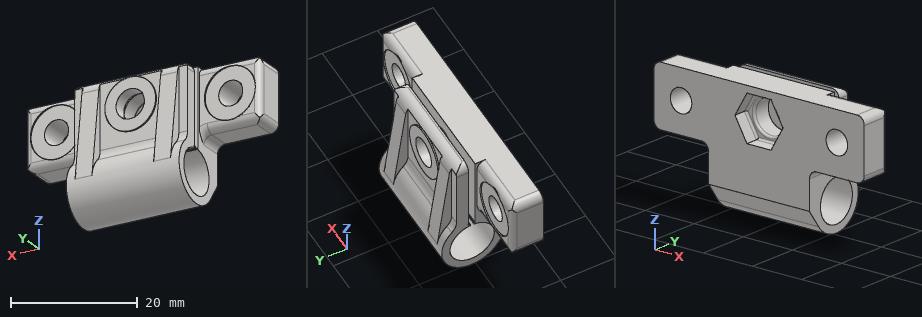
import cadquery as cq
import math

length = 42.9
height = 23.75
body_width = 20.6
tube_radius = 5.5
bore_radius = 4.0
tube_y = 6.75
tube_z = tube_radius

slot_front = 6.2
slot_back = 7.38
slot_floor = 9.75
neck_width = 0.7
arm_back = 9.55
round_radius = 1.45
jaw_top_radius = 2.27
blend_radius = 2.57

flange_height = 11.35
flange_depth = 5.85
flange_end_radius = 1.07
mount_hole_spacing = 31.75
mount_hole_radius = 2.2
recess_depth = 0.25

hole_z = height - 5.55
screw_radius = 2.57
front_hole_radius = 3.17
mouth_radius = 0.45
hex_corner_diameter = 9.78
hex_floor_radius = 0.4
hex_depth = 2.75

raised_back = 9.8
raised_top = height - 0.8
boss_radius = 4.65
rib_inner_x = 5.6
rib_outer_x = 8.7


def side_plane(x):
    """Sketch plane across the part: local x is Y, local y is Z."""
    return cq.Workplane("YZ", origin=(x, 0, 0))


def face_plane(y):
    """Sketch plane facing the back: local x is X, local y is Z; extrude(-d) goes back."""
    return cq.Workplane("XZ", origin=(0, y, 0))


def tube_tangent(y, z, side):
    """Point where a line from (y, z) touches the tube, on the chosen side."""
    toward = math.atan2(z - tube_z, y - tube_y)
    swing = math.acos(tube_radius / math.hypot(y - tube_y, z - tube_z))
    angle = toward + side * swing
    return tube_y + tube_radius * math.cos(angle), tube_z + tube_radius * math.sin(angle)


def make_front_jaw():
    chin = tube_tangent(0, tube_z, 1)
    return (
        side_plane(-body_width / 2)
        .polyline([(0, height), (0, tube_z), chin, (tube_y, tube_z), (slot_front, tube_z), (slot_front, height)])
        .close()
        .extrude(body_width)
    )


def make_tube():
    return side_plane(-body_width / 2).center(tube_y, tube_z).circle(tube_radius).extrude(body_width)


def make_rear_jaw():
    """Tapered jaw, tangent to the tube, with a rounded top edge and rounded top corners."""
    touch = tube_tangent(raised_back, raised_top, -1)
    slope = (touch[0] - raised_back) / (raised_top - touch[1])
    top_y = raised_back - slope * (height - raised_top)
    jaw = (
        side_plane(-body_width / 2)
        .polyline([(slot_back, height), (top_y, height), touch, (slot_back, tube_z)])
        .close()
        .extrude(body_width)
    )
    jaw = jaw.edges("|X and >Z").edges(">Y").fillet(jaw_top_radius)
    rounded_outline = (
        cq.Workplane("XY")
        .box(body_width, tube_y + tube_radius, height, centered=(True, False, False))
        .edges("|Y and >Z")
        .fillet(round_radius)
    )
    return jaw.intersect(rounded_outline)


def make_back_pocket(x_start, x_end):
    """Pocket beside a rib: a flat upright floor that blends into the tube with a concave round."""
    blend_y = arm_back + blend_radius
    reach = tube_radius + blend_radius
    angle = math.acos((blend_y - tube_y) / reach)
    blend_z = tube_z + reach * math.sin(angle)
    touch = (tube_y + tube_radius * math.cos(angle), tube_z + tube_radius * math.sin(angle))
    middle_angle = math.pi + angle / 2
    middle = (
        blend_y + blend_radius * math.cos(middle_angle),
        blend_z + blend_radius * math.sin(middle_angle),
    )
    outside_y = tube_y + 2 * tube_radius
    return (
        side_plane(x_start)
        .moveTo(arm_back, height)
        .lineTo(arm_back, blend_z)
        .threePointArc(middle, touch)
        .lineTo(tube_y, tube_z)
        .lineTo(outside_y, tube_z)
        .lineTo(outside_y, height)
        .close()
        .extrude(x_end - x_start)
    )


def make_boss():
    return face_plane(slot_back).center(0, hole_z).circle(boss_radius).extrude(slot_back - raised_back)


def make_flange():
    plate_bottom = height - flange_height
    half_length = length / 2
    half_body = body_width / 2
    blank = (
        face_plane(0)
        .polyline([
            (-half_length, height),
            (half_length, height),
            (half_length, plate_bottom),
            (half_body, plate_bottom),
            (half_body, tube_z),
            (-half_body, tube_z),
            (-half_body, plate_bottom),
            (-half_length, plate_bottom),
        ])
        .close()
        .extrude(-flange_depth)
    )
    blank = blank.edges("|Y").edges("not <Z").edges("not (<X or >X)").fillet(round_radius)
    blank = blank.faces(">Y").edges("not (<X or >X or <Z)").fillet(round_radius)

    envelope = cq.Workplane("XY").box(length, flange_depth, height - tube_z, centered=(True, False, False))
    envelope = envelope.translate((0, 0, tube_z))
    end_envelope = envelope.edges("|Z and >Y").fillet(flange_end_radius)
    plate = face_plane(0).center(0, height - flange_height / 2).rect(length, flange_height).extrude(-flange_depth)
    plate = plate.edges("|Y").fillet(round_radius)
    stem_width = body_width + 2 * round_radius
    stem = face_plane(0).center(0, (height + tube_z) / 2).rect(stem_width, height - tube_z).extrude(-flange_depth)
    return blank.intersect(end_envelope).intersect(plate.union(stem))


def cut_tube_bore(part):
    bore = side_plane(-body_width / 2).center(tube_y, tube_z).circle(bore_radius).extrude(body_width)
    slot = (
        cq.Workplane("XY", origin=(0, slot_front, slot_floor))
        .box(body_width, slot_back - slot_front, height, centered=(True, False, False))
    )
    neck = (
        cq.Workplane("XY", origin=(0, tube_y, tube_z))
        .box(body_width, neck_width, height, centered=(True, True, False))
    )
    return part.cut(bore).cut(slot).cut(neck)


def cut_mount_holes(part):
    for x in (-mount_hole_spacing / 2, mount_hole_spacing / 2):
        hole = face_plane(0).center(x, hole_z).circle(mount_hole_radius).extrude(-flange_depth)
        recess = (
            face_plane(flange_depth - recess_depth)
            .center(x, hole_z)
            .circle(boss_radius)
            .extrude(-recess_depth)
        )
        part = part.cut(hole).cut(recess)
    return part


def cut_screw_hole(part):
    center = (0, hole_z)
    pocket = face_plane(0).center(*center).polygon(6, hex_corner_diameter).extrude(-hex_depth)
    pocket = pocket.faces(">Y").edges().fillet(hex_floor_radius)
    front_hole = face_plane(0).center(*center).circle(front_hole_radius).extrude(-slot_front)
    rear_hole = face_plane(slot_front).center(*center).circle(screw_radius).extrude(slot_front - raised_back)
    mouth = (
        side_plane(0)
        .center(hex_depth, hole_z)
        .lineTo(0, front_hole_radius + mouth_radius)
        .radiusArc((mouth_radius, front_hole_radius), -mouth_radius)
        .lineTo(mouth_radius, 0)
        .close()
        .revolve(360, (0, 0), (1, 0))
    )
    return part.cut(pocket).cut(front_hole).cut(mouth).cut(rear_hole)


rear_jaw = make_rear_jaw()
pocket_spans = [
    (-body_width / 2, -rib_outer_x),
    (-rib_inner_x, rib_inner_x),
    (rib_outer_x, body_width / 2),
]
for span_start, span_end in pocket_spans:
    rear_jaw = rear_jaw.cut(make_back_pocket(span_start, span_end))

body = make_front_jaw().union(rear_jaw).union(make_tube()).union(make_boss()).union(make_flange())
result = cut_screw_hole(cut_mount_holes(cut_tube_bore(body)))